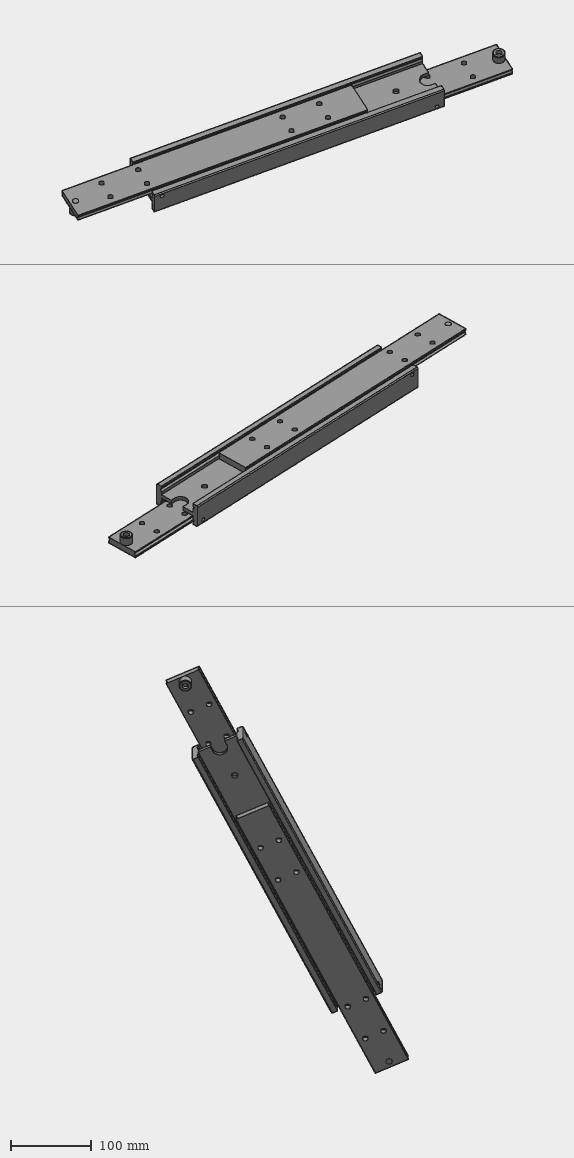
import cadquery as cq

TOTAL_LENGTH = 600.0
TOTAL_WIDTH = 70.0
TOTAL_HEIGHT = 32.0
MEMBER_LENGTH = TOTAL_LENGTH * 2 / 3
HALF_LENGTH = MEMBER_LENGTH / 2
SLIDE_SHIFT = (TOTAL_LENGTH - MEMBER_LENGTH) / 2

WALL_THICKNESS = 8.5
WALL_CHAMFER = 1.5
WEB_THICKNESS = 5.5
NOTCH_WIDTH = 20.0
NOTCH_DEPTH = 16.0
WEB_HOLE_DIAMETER = 8.0
WEB_HOLE_INSET = 50.0
WALL_HOLE_DIAMETER = 5.5
WALL_HOLE_INSET = 10.0

SLIDE_WIDTH = 45.5
SLIDE_THICKNESS = 9.0
MOUNTING_HOLE_DIAMETER = 6.5
MOUNTING_HOLE_SPACING = 25.0
MOUNTING_HOLE_INSETS = (50.0, 100.0)

TRACK_HEIGHT = 6.5
TRACK_DEPTH = 1.5
TRACK_Z = 10.0

PIN_HEAD_DIAMETER = 15.5
PIN_HEAD_HEIGHT = 11.5
PIN_HEAD_CHAMFER = 0.9
PIN_SHANK_DIAMETER = 8.0
PIN_SOCKET_DIAMETER = 8.0
PIN_SOCKET_DEPTH = 6.0

WALL_INNER_X = TOTAL_WIDTH / 2 - WALL_THICKNESS
SLIDE_INNER_Z = TOTAL_HEIGHT / 2 - SLIDE_THICKNESS
PIN_Y = (PIN_HEAD_DIAMETER - TOTAL_LENGTH) / 2


def bar(width, height, z=0):
    """Full-length bar centred on the Z axis, with its middle at height z."""
    return cq.Workplane("XY", origin=(0, 0, z)).box(width, MEMBER_LENGTH, height)


def vertical_rods(diameter, points):
    """Cutters parallel to Z, tall enough to pass through everything."""
    return cq.Workplane("XY").pushPoints(points).circle(diameter / 2).extrude(TOTAL_HEIGHT, both=True)


def track_cutter(face_x, apex_x, z):
    """V-shaped track opening at face_x and deepest at apex_x."""
    outline = [
        (face_x, z - TRACK_HEIGHT / 2),
        (apex_x, z),
        (face_x, z + TRACK_HEIGHT / 2),
    ]
    return cq.Workplane("XZ").polyline(outline).close().extrude(HALF_LENGTH, both=True)


def web_notch(end):
    """Round-bottomed slot open at one end of the web; end is -1 or 1."""
    arc_y = HALF_LENGTH - NOTCH_DEPTH + NOTCH_WIDTH / 2
    slot = vertical_rods(NOTCH_WIDTH, [(0, end * arc_y)])
    mouth = cq.Workplane("XY", origin=(0, end * HALF_LENGTH, 0)).box(
        NOTCH_WIDTH, 2 * (HALF_LENGTH - arc_y), WEB_THICKNESS
    )
    return slot.union(mouth)


def wall_holes(end):
    """Cross holes through both walls near one end: above the web at the -Y end, below it at +Y."""
    hole_y = end * (HALF_LENGTH - WALL_HOLE_INSET)
    return (
        cq.Workplane("YZ")
        .center(hole_y, -end * TRACK_Z)
        .circle(WALL_HOLE_DIAMETER / 2)
        .extrude(TOTAL_WIDTH, both=True)
    )


def make_middle_rail():
    rail = bar(TOTAL_WIDTH, TOTAL_HEIGHT).edges("|Y").chamfer(WALL_CHAMFER)

    channel_height = (TOTAL_HEIGHT - WEB_THICKNESS) / 2
    channel_z = (TOTAL_HEIGHT + WEB_THICKNESS) / 4
    for level in (-1, 1):
        rail = rail.cut(bar(2 * WALL_INNER_X, channel_height, level * channel_z))
        for side in (-1, 1):
            apex_x = side * (WALL_INNER_X + TRACK_DEPTH)
            rail = rail.cut(track_cutter(side * WALL_INNER_X, apex_x, level * TRACK_Z))

    for end in (-1, 1):
        web_hole_y = end * (HALF_LENGTH - WEB_HOLE_INSET)
        rail = rail.cut(web_notch(end))
        rail = rail.cut(vertical_rods(WEB_HOLE_DIAMETER, [(0, web_hole_y)]))
        rail = rail.cut(wall_holes(end))
    return rail


def make_upper_slide():
    slide = bar(SLIDE_WIDTH, SLIDE_THICKNESS, SLIDE_INNER_Z + SLIDE_THICKNESS / 2)
    for side in (-1, 1):
        face_x = side * SLIDE_WIDTH / 2
        slide = slide.cut(track_cutter(face_x, face_x - side * TRACK_DEPTH, TRACK_Z))

    hole_points = [
        (side * MOUNTING_HOLE_SPACING / 2, end * (HALF_LENGTH - inset))
        for side in (-1, 1)
        for end in (-1, 1)
        for inset in MOUNTING_HOLE_INSETS
    ]
    slide = slide.cut(vertical_rods(MOUNTING_HOLE_DIAMETER, hole_points))

    slide = slide.translate((0, -SLIDE_SHIFT, 0))
    return slide.cut(vertical_rods(PIN_SHANK_DIAMETER, [(0, PIN_Y)]))


def make_upper_pin():
    base = cq.Workplane("XY", origin=(0, PIN_Y, SLIDE_INNER_Z))
    head = base.circle(PIN_HEAD_DIAMETER / 2).extrude(-PIN_HEAD_HEIGHT)
    head = head.faces("<Z").chamfer(PIN_HEAD_CHAMFER)
    socket = (
        base.workplane(offset=-PIN_HEAD_HEIGHT)
        .circle(PIN_SOCKET_DIAMETER / 2)
        .extrude(PIN_SOCKET_DEPTH)
    )
    shank = base.circle(PIN_SHANK_DIAMETER / 2).extrude(SLIDE_THICKNESS)
    return head.cut(socket).union(shank)


middle_rail = make_middle_rail()
slides = []
stop_pins = []
for turn_angle in (0, 180):
    slides.append(make_upper_slide().rotate((0, 0, 0), (1, 0, 0), turn_angle))
    stop_pins.append(make_upper_pin().rotate((0, 0, 0), (1, 0, 0), turn_angle))

result = cq.Compound.makeCompound(
    [middle_rail.val()]
    + [slide.val() for slide in slides]
    + [pin.val() for pin in stop_pins]
)